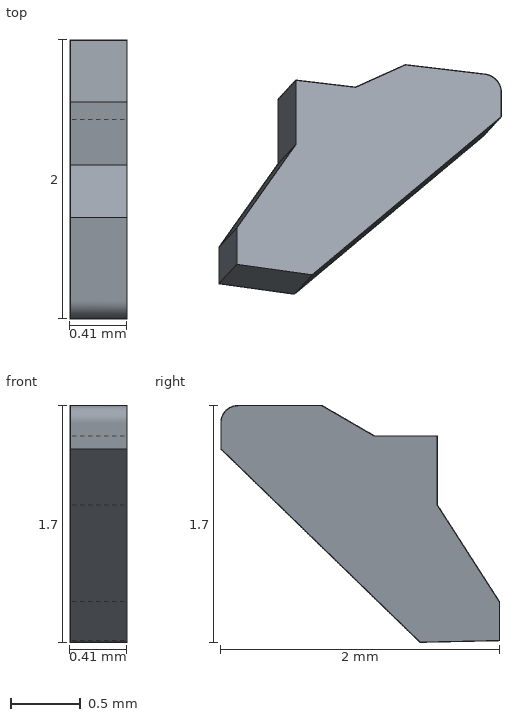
import cadquery as cq

thickness = 0.41
length = 2.0
height = 1.7

nose_bottom = 1.388
nose_radius = 0.125

nose_flat_end = 0.725
shelf_start = 1.102
shelf_end = 1.555
shelf_height = 1.482

shoulder_height = 0.985
tail_top = 0.292
tail_bottom = 0.012
foot_start = 1.43

outline = [
    (foot_start, 0),
    (0, nose_bottom),
    (0, height),
    (nose_flat_end, height),
    (shelf_start, shelf_height),
    (shelf_end, shelf_height),
    (shelf_end, shoulder_height),
    (length, tail_top),
    (length, tail_bottom),
]

plate = cq.Workplane("YZ").polyline(outline).close().extrude(thickness)

nose_corner = cq.selectors.NearestToPointSelector((thickness / 2, 0, height))
result = plate.edges(nose_corner).fillet(nose_radius)